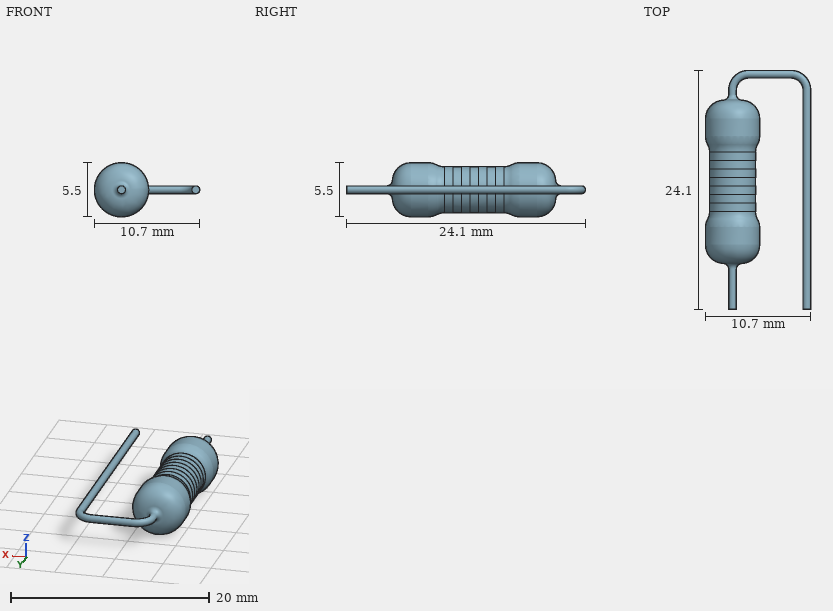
import cadquery as cq
import math

wire_diameter = 0.8
wire_radius = wire_diameter / 2
bend_radius = 1.6
lead_pitch = 7.5
front_lead_length = 4.6
overall_length = 24.1

body_length = 16.5
cap_radius = 5.5 / 2
band_radius = 4.7 / 2
waist_radius = 4.67 / 2
band_count = 4
dome_radius = 1.9
cap_straight = 1.75
neck_length = 1.6
meniscus_radius = 0.55

half_body = body_length / 2
front_tip = -half_body - front_lead_length
back_axis = front_tip + overall_length - wire_radius

dome_end = half_body - dome_radius
cap_end = dome_end - cap_straight
neck_middle = cap_end - neck_length / 2
waist_end = cap_end - neck_length


def build_cap(side):
    """Domed cap, S-shaped neck and lead fillet; side is +1 (back) or -1 (front)."""
    neck_drop = (cap_radius - waist_radius) / 2
    neck_half = neck_length / 2
    neck_arc = (neck_half**2 + neck_drop**2) / (2 * neck_drop)
    arc_sag = neck_arc - math.sqrt(neck_arc**2 - (neck_half / 2) ** 2)
    diagonal = math.sqrt(0.5)

    dome_centre = cap_radius - dome_radius
    meniscus_centre = wire_radius + meniscus_radius
    touch_angle = math.acos((meniscus_centre - dome_centre) / (dome_radius + meniscus_radius))
    meniscus_tip = dome_end + (dome_radius + meniscus_radius) * math.sin(touch_angle)
    meniscus_middle_angle = touch_angle / 2

    def at(radius, y):
        return (radius, side * y)

    profile = (
        cq.Workplane("XY")
        .moveTo(*at(0, waist_end))
        .lineTo(*at(waist_radius, waist_end))
        .threePointArc(
            at(waist_radius + arc_sag, waist_end + neck_half / 2),
            at(waist_radius + neck_drop, neck_middle),
        )
        .threePointArc(
            at(cap_radius - arc_sag, cap_end - neck_half / 2),
            at(cap_radius, cap_end),
        )
        .lineTo(*at(cap_radius, dome_end))
        .threePointArc(
            at(dome_centre + dome_radius * diagonal, dome_end + dome_radius * diagonal),
            at(
                dome_centre + dome_radius * math.cos(touch_angle),
                dome_end + dome_radius * math.sin(touch_angle),
            ),
        )
        .threePointArc(
            at(
                meniscus_centre - meniscus_radius * math.cos(meniscus_middle_angle),
                meniscus_tip - meniscus_radius * math.sin(meniscus_middle_angle),
            ),
            at(wire_radius, meniscus_tip),
        )
        .lineTo(*at(0, meniscus_tip))
        .close()
    )
    return profile.revolve(360, (0, 0, 0), (0, 1, 0))


def build_waist():
    """Straight waist of alternating colour bands and slightly smaller gaps."""
    ring_count = 2 * band_count - 1
    ring_length = 2 * waist_end / ring_count
    waist = None
    for index in range(ring_count):
        radius = band_radius if index % 2 == 0 else waist_radius
        start = -waist_end + index * ring_length
        ring = cq.Workplane("XZ", origin=(0, start, 0)).circle(radius).extrude(-ring_length)
        waist = ring if waist is None else waist.union(ring)
    return waist


def build_back_wire():
    """Lead leaving the back cap, bent twice to return alongside the body."""
    bend_start = back_axis - bend_radius
    bend_offset = bend_radius * (1 - math.sqrt(0.5))
    path = (
        cq.Workplane("XY")
        .moveTo(0, dome_end)
        .lineTo(0, bend_start)
        .threePointArc((bend_offset, back_axis - bend_offset), (bend_radius, back_axis))
        .lineTo(lead_pitch - bend_radius, back_axis)
        .threePointArc(
            (lead_pitch - bend_offset, back_axis - bend_offset),
            (lead_pitch, bend_start),
        )
        .lineTo(lead_pitch, front_tip)
    )
    return cq.Workplane("XZ", origin=(0, dome_end, 0)).circle(wire_radius).sweep(path)


def build_front_wire():
    """Short straight lead leaving the front cap."""
    wire_length = -dome_end - front_tip
    return cq.Workplane("XZ", origin=(0, -dome_end, 0)).circle(wire_radius).extrude(wire_length)


result = (
    build_waist()
    .union(build_cap(1))
    .union(build_cap(-1))
    .union(build_back_wire())
    .union(build_front_wire())
)